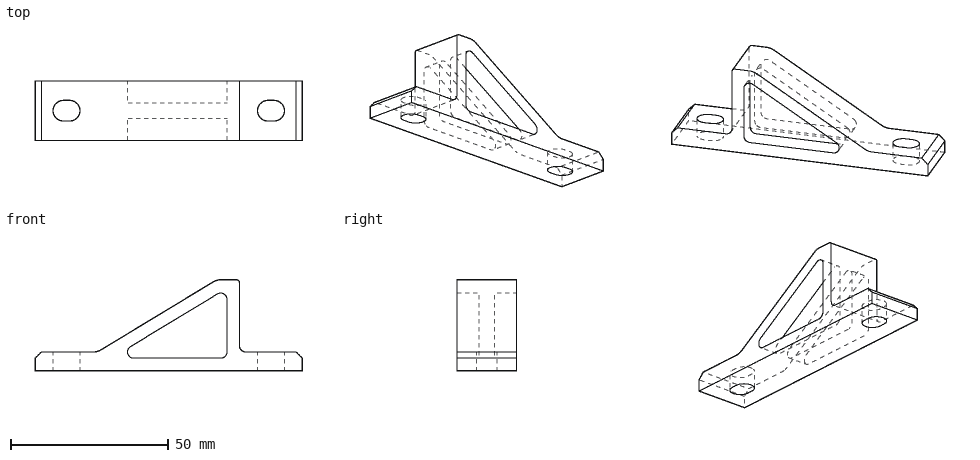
import cadquery as cq
import math

base_length = 85.0
width = 19.0
base_height = 6.0
end_chamfer = 2.0

total_height = 29.0
slope_foot_x = 19.8
slope_top_x = 57.8
back_face_x = 65.0
slope_blend_radius = 5.0
back_foot_radius = 2.0
back_top_radius = 1.0

wall = 4.0
web_thickness = 5.0
pocket_corner_radius = 2.0
pocket_depth = (width - web_thickness) / 2

slot_length = 8.5
slot_width = 6.5
slot_end_distance = 10.0
slot_centers = [(slot_end_distance, 0), (base_length - slot_end_distance, 0)]

slope = (total_height - base_height) / (slope_top_x - slope_foot_x)


def prism(points, depth):
    """Extrude an X-Z outline by depth, centred on Y = 0."""
    return cq.Workplane("XZ").polyline(points).close().extrude(depth / 2, both=True)


def fillet_edge(body, x, z, radius):
    """Round the edge running along Y through the outline corner (x, z)."""
    edge = cq.selectors.NearestToPointSelector((x, 0, z))
    return body.edges("|Y").edges(edge).fillet(radius)


def make_body():
    body = prism(
        [
            (0, 0),
            (base_length, 0),
            (base_length, base_height - end_chamfer),
            (base_length - end_chamfer, base_height),
            (back_face_x, base_height),
            (back_face_x, total_height),
            (slope_top_x, total_height),
            (slope_foot_x, base_height),
            (end_chamfer, base_height),
            (0, base_height - end_chamfer),
        ],
        width,
    )
    body = fillet_edge(body, slope_foot_x, base_height, slope_blend_radius)
    body = fillet_edge(body, slope_top_x, total_height, slope_blend_radius)
    body = fillet_edge(body, back_face_x, total_height, back_top_radius)
    return fillet_edge(body, back_face_x, base_height, back_foot_radius)


def make_pocket():
    """Pocket tool whose sides lie one wall thickness inside the upright."""
    floor_z = wall
    back_x = back_face_x - wall
    slope_shift = wall / math.sin(math.atan(slope))
    front_x = slope_foot_x + slope_shift + (floor_z - base_height) / slope
    peak_z = floor_z + (back_x - front_x) * slope
    pocket = prism([(front_x, floor_z), (back_x, floor_z), (back_x, peak_z)], pocket_depth)
    return pocket.edges("|Y").fillet(pocket_corner_radius)


def cut_pockets(body):
    pocket = make_pocket()
    offset = (width - pocket_depth) / 2
    for side in (-1, 1):
        body = body.cut(pocket.translate((0, side * offset, 0)))
    return body


def cut_slots(body):
    slots = (
        cq.Workplane("XY")
        .pushPoints(slot_centers)
        .slot2D(slot_length, slot_width)
        .extrude(base_height)
    )
    return body.cut(slots)


result = cut_slots(cut_pockets(make_body()))